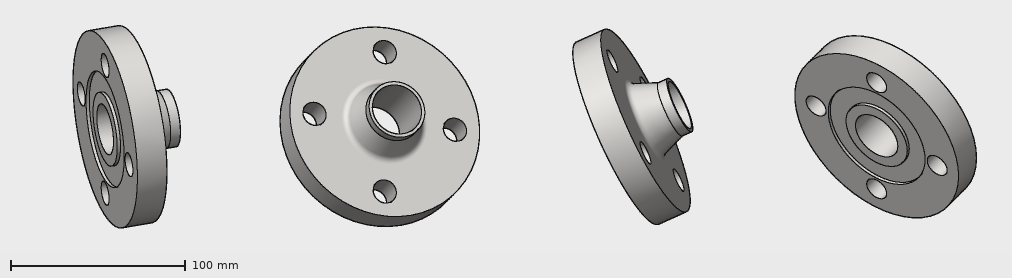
import cadquery as cq

flange_diameter = 115.0
flange_thickness = 18.0
overall_length = 40.0

neck_end_diameter = 33.7
neck_end_length = 6.0
neck_base_diameter = 46.0
neck_fillet_radius = 4.0

bore_diameter = 29.7

groove_outer_diameter = 68.0
groove_inner_diameter = 43.0
groove_depth = 2.0

bolt_count = 4
bolt_circle_diameter = 85.0
bolt_hole_diameter = 14.0


def cylinder(diameter, length):
    """Cylinder about the Y axis, running from the sealing face towards +Y."""
    return cq.Workplane("XZ").circle(diameter / 2).extrude(-length)


def make_body():
    """Flange disc, tapered neck and straight weld end, revolved about Y."""
    taper_end = overall_length - neck_end_length
    body = (
        cq.Workplane("XY")
        .lineTo(flange_diameter / 2, 0)
        .lineTo(flange_diameter / 2, flange_thickness)
        .lineTo(neck_base_diameter / 2, flange_thickness)
        .lineTo(neck_end_diameter / 2, taper_end)
        .lineTo(neck_end_diameter / 2, overall_length)
        .lineTo(0, overall_length)
        .close()
        .revolve(360, (0, 0, 0), (0, 1, 0))
    )
    neck_root_rank = 1
    neck_root = cq.selectors.RadiusNthSelector(neck_root_rank)
    return body.edges(neck_root).fillet(neck_fillet_radius)


def make_groove():
    """Ring-shaped recess in the sealing face, leaving a flush land round the bore."""
    recess = cylinder(groove_outer_diameter, groove_depth)
    return recess.cut(cylinder(groove_inner_diameter, groove_depth))


def make_bolt_holes():
    """Through holes spaced evenly on the bolt circle, the first on the X axis."""
    return (
        cq.Workplane("XZ")
        .polarArray(bolt_circle_diameter / 2, 0, 360, bolt_count)
        .circle(bolt_hole_diameter / 2)
        .extrude(-flange_thickness)
    )


result = (
    make_body()
    .cut(cylinder(bore_diameter, overall_length))
    .cut(make_groove())
    .cut(make_bolt_holes())
)